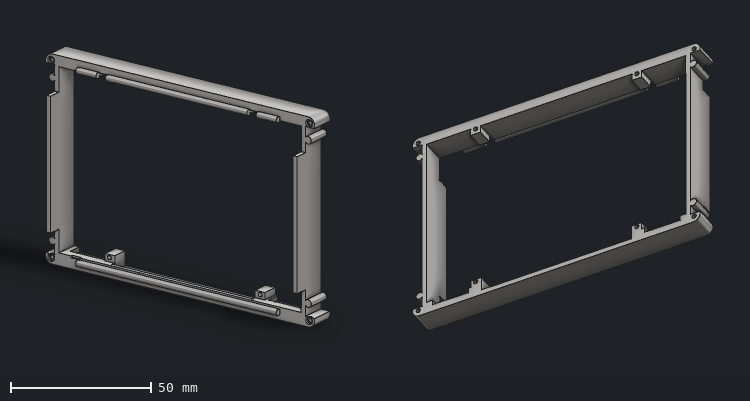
import cadquery as cq
import math

LENGTH = 118.0
DEPTH = 14.6
HEIGHT = 80.0

BACK_Y = DEPTH / 2
FRAME_DEPTH = 9.5
FRONT_Y = BACK_Y - FRAME_DEPTH

WALL_OUTER_X = 55.0
WALL_THICKNESS = 1.9
WALL_INNER_X = WALL_OUTER_X - WALL_THICKNESS
TAB_HEIGHT = 52.2

RAIL_OUTER_Z = HEIGHT / 2
TOP_RAIL_INNER_Z = 35.8
BOTTOM_RAIL_INNER_Z = 35.0

LUG_HEIGHT = 3.9
LUG_RADIUS = 3.0
SCREW_HOLE_DIAMETER = 1.7
SCREW_INSET = 2.5
COUNTERBORE_DIAMETER = 2.8
COUNTERBORE_DEPTH = 1.0

KEY_DIAMETER = 3.0
KEY_X = 56.0
KEY_Z = 31.0

ROD_DIAMETER = 2.5
ROD_LENGTH = 87.8
ROD_STANDOFF = 1.2
ROD_Z = 36.6

CLIP_X = 33.0
CLIP_HOLE_DIAMETER = 1.7
CLIP_FRONT_Y = 0.7
TOP_CLIP_WIDTH = 4.0
TOP_CLIP_LOW_Z = 32.9
TOP_CLIP_HIGH_Z = 37.2
TOP_CLIP_HOLE_Z = 35.2
BOTTOM_CLIP_OUTER_X = 35.0
BOTTOM_CLIP_INNER_X = 30.7
BOTTOM_CLIP_TOP_Z = -32.2
BOTTOM_CLIP_HOLE_Z = -33.4

END_POCKET_OUTER_X = 50.7
END_POCKET_INNER_X = 36.1
END_POCKET_FLOOR_Z = -37.0
END_POCKET_LIP_Y = 1.5
END_POCKET_FLAT_Y = 4.8
MID_POCKET_FLOOR_Z = -37.9
MID_POCKET_LIP_Y = -1.3
MID_POCKET_FLAT_Y = 3.8

NOTCH_OUTER_X = 47.8
NOTCH_INNER_X = ROD_LENGTH / 2
NOTCH_DEPTH = 0.8
NOTCH_HEIGHT = 0.7


def box(x0, x1, y0, y1, z0, z1):
    """Box between two corners."""
    return cq.Workplane("XY").box(x1 - x0, y1 - y0, z1 - z0, centered=False).translate((x0, y0, z0))


def y_cylinder(x, z, diameter, y0, y1):
    """Cylinder along Y from y0 to y1."""
    profile = cq.Workplane("XZ", origin=(0, y0, 0)).center(x, z).circle(diameter / 2)
    return profile.extrude(y0 - y1)


def frame_body():
    """Rails with rounded corner lugs, joined by thin side walls."""
    body = cq.Workplane("XY").box(LENGTH, FRAME_DEPTH, HEIGHT).translate((0, FRONT_Y + FRAME_DEPTH / 2, 0))
    body = body.edges("|Y").fillet(LUG_RADIUS)
    lug_z = RAIL_OUTER_Z - LUG_HEIGHT
    body = body.cut(box(-LENGTH, -WALL_OUTER_X, FRONT_Y, BACK_Y, -lug_z, lug_z))
    body = body.cut(box(WALL_OUTER_X, LENGTH, FRONT_Y, BACK_Y, -lug_z, lug_z))
    opening = box(-WALL_INNER_X, WALL_INNER_X, FRONT_Y, BACK_Y, -BOTTOM_RAIL_INNER_Z, TOP_RAIL_INNER_Z)
    return body.cut(opening)


def side_tab(side):
    """Forward extension of a side wall."""
    x0, x1 = sorted((side * WALL_INNER_X, side * WALL_OUTER_X))
    return box(x0, x1, -DEPTH / 2, BACK_Y, -TAB_HEIGHT / 2, TAB_HEIGHT / 2)


def screw_hole(x, z):
    """Through hole with a counterbore from the front."""
    hole = y_cylinder(x, z, SCREW_HOLE_DIAMETER, FRONT_Y, BACK_Y)
    return hole.union(y_cylinder(x, z, COUNTERBORE_DIAMETER, FRONT_Y, FRONT_Y + COUNTERBORE_DEPTH))


def snap_rod(z):
    """Rod along X, standing on the front face of a rail and slightly sunk in it."""
    profile = cq.Workplane("YZ", origin=(-ROD_LENGTH / 2, 0, 0)).center(FRONT_Y - ROD_STANDOFF, z)
    return profile.circle(ROD_DIAMETER / 2).extrude(ROD_LENGTH)


def end_pocket(side):
    """Recess between side wall and clip, its floor curving up to the lip."""
    rim_z = -BOTTOM_RAIL_INNER_Z
    run = END_POCKET_FLAT_Y - END_POCKET_LIP_Y
    rise = rim_z - END_POCKET_FLOOR_Z
    radius = (run**2 + rise**2) / (2 * rise)
    half_angle = math.atan2(rise, run)
    arc_mid = (
        END_POCKET_FLAT_Y - radius * math.sin(half_angle),
        END_POCKET_FLOOR_Z + radius * (1 - math.cos(half_angle)),
    )
    x0 = min(side * END_POCKET_INNER_X, side * END_POCKET_OUTER_X)
    profile = (
        cq.Workplane("YZ", origin=(x0, 0, 0))
        .moveTo(BACK_Y, rim_z)
        .lineTo(BACK_Y, END_POCKET_FLOOR_Z)
        .lineTo(END_POCKET_FLAT_Y, END_POCKET_FLOOR_Z)
        .threePointArc(arc_mid, (END_POCKET_LIP_Y, rim_z))
        .close()
    )
    return profile.extrude(END_POCKET_OUTER_X - END_POCKET_INNER_X)


def middle_pocket():
    """Recess between the clips, its floor rising to the lip in an S-curve."""
    rim_z = -BOTTOM_RAIL_INNER_Z
    middle = ((MID_POCKET_LIP_Y + MID_POCKET_FLAT_Y) / 2, (rim_z + MID_POCKET_FLOOR_Z) / 2)
    profile = (
        cq.Workplane("YZ", origin=(-BOTTOM_CLIP_INNER_X, 0, 0))
        .moveTo(BACK_Y, rim_z)
        .lineTo(BACK_Y, MID_POCKET_FLOOR_Z)
        .lineTo(MID_POCKET_FLAT_Y, MID_POCKET_FLOOR_Z)
        .tangentArcPoint(middle, relative=False)
        .tangentArcPoint((MID_POCKET_LIP_Y, rim_z), relative=False)
        .close()
    )
    return profile.extrude(2 * BOTTOM_CLIP_INNER_X)


def top_clip_gap(side):
    """Gap through the top rod and the front of the top rail, ahead of a clip."""
    x0 = side * CLIP_X - TOP_CLIP_WIDTH / 2
    x1 = side * CLIP_X + TOP_CLIP_WIDTH / 2
    rail_gap = box(x0, x1, FRONT_Y, CLIP_FRONT_Y, TOP_CLIP_LOW_Z, TOP_CLIP_HIGH_Z)
    rod_gap = box(x0, x1, -DEPTH / 2, FRONT_Y, TOP_CLIP_LOW_Z, RAIL_OUTER_Z)
    return rail_gap.union(rod_gap)


def top_clip(side):
    """Block hanging from the top rail."""
    x0 = side * CLIP_X - TOP_CLIP_WIDTH / 2
    x1 = side * CLIP_X + TOP_CLIP_WIDTH / 2
    return box(x0, x1, CLIP_FRONT_Y, BACK_Y, TOP_CLIP_LOW_Z, TOP_CLIP_HIGH_Z)


def bottom_clip(side):
    """Block standing on the bottom rail between two recesses."""
    x0, x1 = sorted((side * BOTTOM_CLIP_INNER_X, side * BOTTOM_CLIP_OUTER_X))
    return box(x0, x1, CLIP_FRONT_Y, BACK_Y, -BOTTOM_RAIL_INNER_Z, BOTTOM_CLIP_TOP_Z)


def clip_hole(side, z):
    """Hole along Y through a clip."""
    return y_cylinder(side * CLIP_X, z, CLIP_HOLE_DIAMETER, CLIP_FRONT_Y, BACK_Y)


def front_notch():
    """Small step in the front edge of the bottom rail, left of the rod."""
    top_z = -BOTTOM_RAIL_INNER_Z
    return box(-NOTCH_OUTER_X, -NOTCH_INNER_X, FRONT_Y, FRONT_Y + NOTCH_DEPTH, top_z - NOTCH_HEIGHT, top_z)


result = frame_body()
result = result.cut(middle_pocket())
result = result.cut(front_notch())

for end in (-1, 1):
    result = result.union(snap_rod(end * ROD_Z))

for side in (-1, 1):
    result = result.union(side_tab(side))
    result = result.cut(end_pocket(side))
    result = result.cut(top_clip_gap(side))

    result = result.union(top_clip(side))
    result = result.union(bottom_clip(side))
    for hole_z in (TOP_CLIP_HOLE_Z, BOTTOM_CLIP_HOLE_Z):
        result = result.cut(clip_hole(side, hole_z))

    for end in (-1, 1):
        result = result.union(y_cylinder(side * KEY_X, end * KEY_Z, KEY_DIAMETER, FRONT_Y, BACK_Y))
        screw_x = side * (LENGTH / 2 - SCREW_INSET)
        screw_z = end * (RAIL_OUTER_Z - SCREW_INSET)
        result = result.cut(screw_hole(screw_x, screw_z))